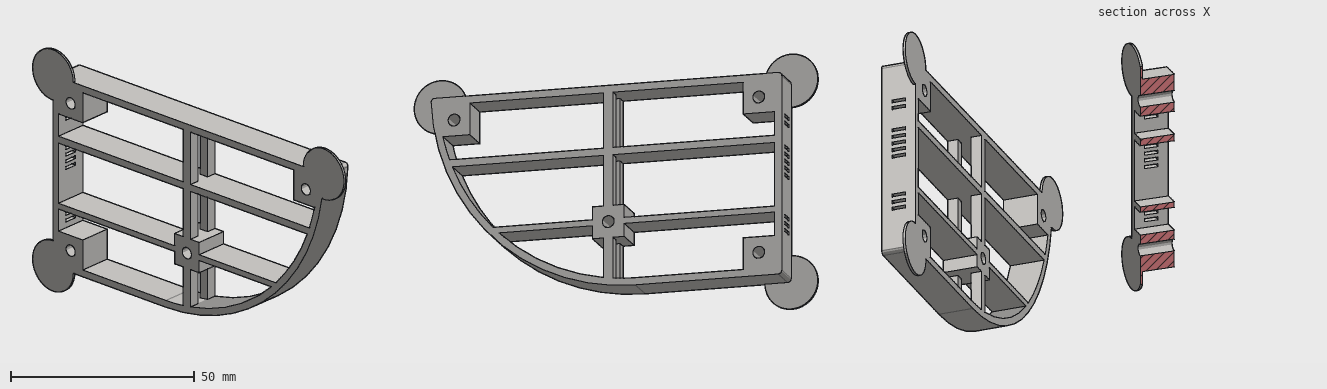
import cadquery as cq
import math

overall_length = 114.7
overall_height = 72.0
disc_diameter = 15.0
width = overall_length - disc_diameter
height = overall_height - disc_diameter
depth = 10.0
wall = 2.1
edge_radius = 1.0
corner_radius = 58.0

disc_thickness = 0.7

hole_diameter = 3.3
corner_block = 11.0
corner_hole_inset = 6.5
boss_size = 9.1
boss_x = 49.3
boss_z = 18.5

upper_rib_z = 38.3
upper_rib_thickness = 2.1
lower_rib_thickness = 1.7
upright_thickness = 2.8

vent_length = 3.9
vent_height = 0.84
vent_gap = 1.1
vent_pitch = vent_height + vent_gap
vent_groups = [(15.1, 3), (32.8, 5), (44.5, 2)]


def box(x_min, x_max, z_min, z_max, y_min=0, y_max=depth):
    size = (x_max - x_min, y_max - y_min, z_max - z_min)
    return cq.Workplane("XY").box(*size, centered=False).translate((x_min, y_min, z_min))


def rod(x, z, diameter, length):
    """Cylinder running back from the front face."""
    return cq.Workplane("XZ", origin=(x, 0, z)).circle(diameter / 2).extrude(-length)


def rounded_panel(inset):
    """Slab of the outline set in by a margin: a rectangle with one large round at the lower right."""
    top = height - inset
    radius = corner_radius - inset
    centre_x = width - corner_radius
    centre_z = corner_radius
    arc_end_x = centre_x + math.sqrt(radius**2 - (centre_z - top) ** 2)
    diagonal = radius * math.sqrt(0.5)
    return (
        cq.Workplane("XZ")
        .moveTo(inset, top)
        .lineTo(inset, inset)
        .lineTo(centre_x, inset)
        .threePointArc((centre_x + diagonal, centre_z - diagonal), (arc_end_x, top))
        .close()
        .extrude(-depth)
    )


def horizontal_rib(z, thickness):
    return box(0, width, z - thickness / 2, z + thickness / 2)


def centred_window(x_min, x_max, z_min, z_max):
    """Cutter of the vent length, midway between the front and rear faces."""
    y_min = (depth - vent_length) / 2
    return box(x_min, x_max, z_min, z_max, y_min, y_min + vent_length)


panel = rounded_panel(0).edges("|Y").edges("<X or >Z").fillet(edge_radius)
frame = panel.cut(rounded_panel(wall))

upright = box(boss_x - upright_thickness / 2, boss_x + upright_thickness / 2, 0, height)
upright = upright.cut(centred_window(0, width, wall, height - wall))
inside = upright.union(horizontal_rib(upper_rib_z, upper_rib_thickness))
inside = inside.union(horizontal_rib(boss_z, lower_rib_thickness))

half_boss = boss_size / 2
inside = inside.union(box(boss_x - half_boss, boss_x + half_boss, boss_z - half_boss, boss_z + half_boss))
inside = inside.union(box(0, corner_block, 0, corner_block))
inside = inside.union(box(0, corner_block, height - corner_block, height))
inside = inside.union(box(width - corner_block, width, height - corner_block, height))
result = frame.union(inside.intersect(panel))

for middle_z, count in vent_groups:
    for index in range(count):
        z = middle_z + (index - (count - 1) / 2) * vent_pitch
        result = result.cut(centred_window(0, wall, z - vent_height / 2, z + vent_height / 2))

for x, z in [(0, 0), (0, height), (width, height)]:
    result = result.union(rod(x, z, disc_diameter, disc_thickness))

hole_centres = [
    (corner_hole_inset, corner_hole_inset),
    (corner_hole_inset, height - corner_hole_inset),
    (width - corner_hole_inset, height - corner_hole_inset),
    (boss_x, boss_z),
]
for x, z in hole_centres:
    result = result.cut(rod(x, z, hole_diameter, depth))